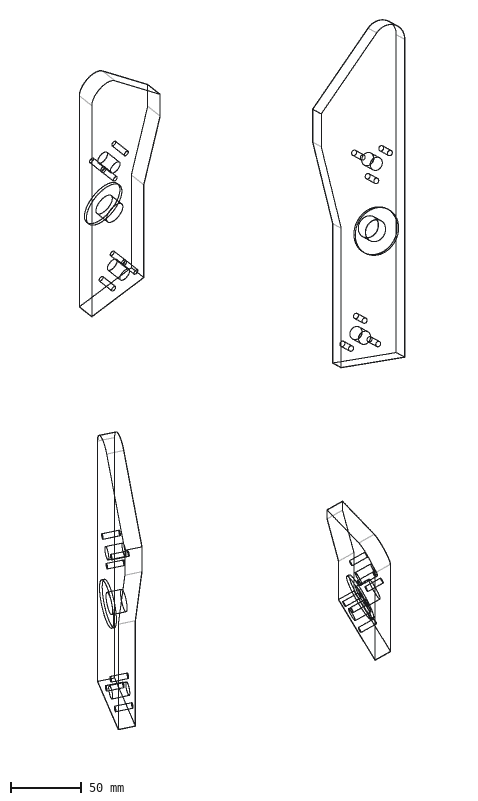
import cadquery as cq
import math

thickness = 12.6
height = 247.6
full_width = 67.4
foot_width = 51.3
shoulder_bottom = 103.0
shoulder_top = 165.7
nose_bottom = 190.0
tip_radius = 13.0

bearing_y = 22.5
bearing_z = 96.3
bearing_hole_diameter = 16.0
recess_diameter = 35.0
recess_depth = 2.0

upper_mount = (23.0, 146.4)
lower_mount = (32.5, 19.3)
mount_hole_diameter = 9.7
screw_hole_diameter = 4.0
screw_circle_radius = 12.6
screw_count = 3
upward = 90
downward = -90


def plate():
    """Flat plate with a rounded tip that blends tangentially into the slanted edge."""
    tip_y = tip_radius
    tip_z = height - tip_radius
    run = full_width - tip_y
    rise = tip_z - nose_bottom
    slope = math.atan2(rise, run) + math.asin(tip_radius / math.hypot(run, rise))
    tangent_point = (
        tip_y + tip_radius * math.sin(slope),
        tip_z + tip_radius * math.cos(slope),
    )
    return (
        cq.Workplane("YZ")
        .lineTo(foot_width, 0)
        .lineTo(foot_width, shoulder_bottom)
        .lineTo(full_width, shoulder_top)
        .lineTo(full_width, nose_bottom)
        .lineTo(*tangent_point)
        .threePointArc((tip_y, height), (0, tip_z))
        .close()
        .extrude(thickness)
    )


def bore(center, diameter, depth=thickness):
    """Round cutter entering from the -X face."""
    return cq.Workplane("YZ").center(*center).circle(diameter / 2).extrude(depth)


def mount_holes(center, first_angle):
    """Central hole and evenly spaced screw holes, the first at the given angle."""
    holes = bore(center, mount_hole_diameter)
    for index in range(screw_count):
        angle = math.radians(first_angle + index * 360 / screw_count)
        screw_center = (
            center[0] + screw_circle_radius * math.cos(angle),
            center[1] + screw_circle_radius * math.sin(angle),
        )
        holes = holes.add(bore(screw_center, screw_hole_diameter))
    return holes.combine()


bearing_center = (bearing_y, bearing_z)

result = (
    plate()
    .cut(bore(bearing_center, bearing_hole_diameter))
    .cut(bore(bearing_center, recess_diameter, recess_depth))
    .cut(mount_holes(upper_mount, downward))
    .cut(mount_holes(lower_mount, upward))
)